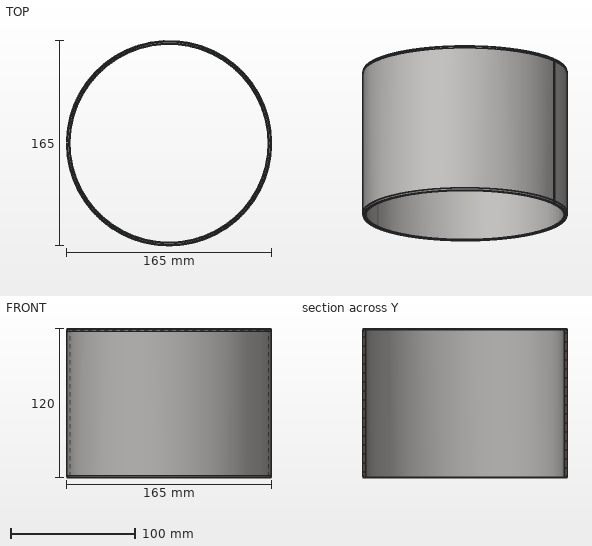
import cadquery as cq
import math

outer_diameter = 165.0
wall_thickness = 2.5
height = 120.0
outer_chamfer_height = 1.8
outer_chamfer_angle = 20.0
inner_chamfer_height = 0.6
inner_chamfer_angle = 30.0
slit_angle = 1.0

outer_radius = outer_diameter / 2
inner_radius = outer_radius - wall_thickness
outer_chamfer_depth = outer_chamfer_height * math.tan(math.radians(outer_chamfer_angle))
inner_chamfer_depth = inner_chamfer_height * math.tan(math.radians(inner_chamfer_angle))
rim_outer_radius = outer_radius - outer_chamfer_depth
rim_inner_radius = inner_radius + inner_chamfer_depth


def sleeve():
    """Closed thin sleeve, chamfered inside and outside at both ends."""
    wall_section = (
        cq.Workplane("XZ")
        .moveTo(rim_inner_radius, 0)
        .lineTo(rim_outer_radius, 0)
        .lineTo(outer_radius, outer_chamfer_height)
        .lineTo(outer_radius, height - outer_chamfer_height)
        .lineTo(rim_outer_radius, height)
        .lineTo(rim_inner_radius, height)
        .lineTo(inner_radius, height - inner_chamfer_height)
        .lineTo(inner_radius, inner_chamfer_height)
        .close()
    )
    return wall_section.revolve(360, (0, 0, 0), (0, 1, 0))


def slit_wedge():
    """Radial wedge with one face on the -X axis, opening towards +Y."""
    wedge_length = outer_diameter
    wedge_width = wedge_length * math.tan(math.radians(slit_angle))
    return (
        cq.Workplane("XY")
        .polyline([(0, 0), (-wedge_length, wedge_width), (-wedge_length, 0)])
        .close()
        .extrude(height)
    )


result = sleeve().cut(slit_wedge())